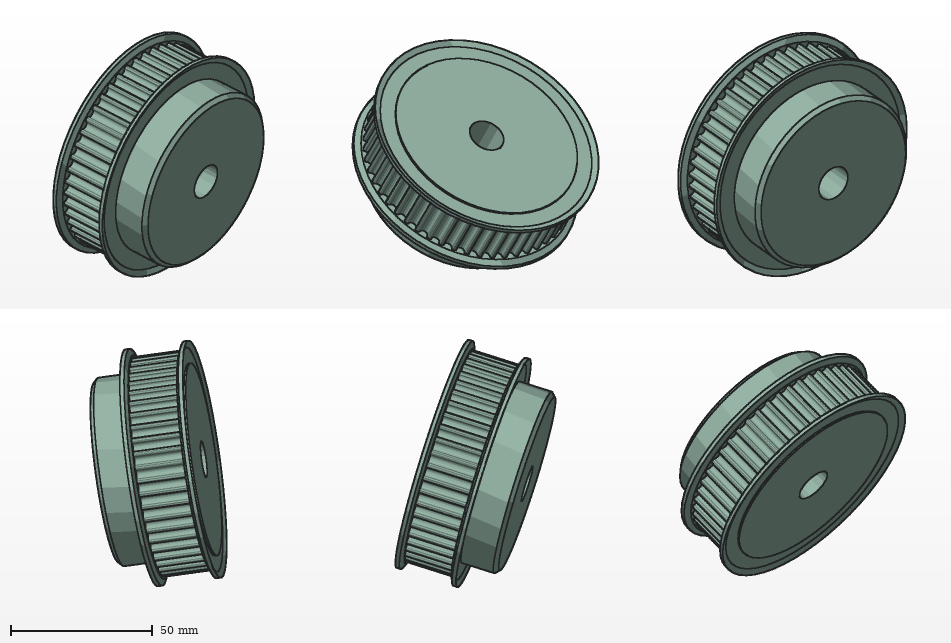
import cadquery as cq
import math

tooth_count = 50
toothed_diameter = 78.5
groove_radius = 1.5
groove_depth = 2.1
tip_radius = 0.6

flange_diameter = 84.6
rim_width = 1.5
dish_depth = 1.0
dish_diameter = 80.0
flange_depth = rim_width + dish_depth
track_width = 17.5

core_diameter = 68.7
core_recess = 0.3

hub_diameter = 67.3
hub_chamfer = 1.5
bore_diameter = 12.85
overall_length = 35.1

pulley_width = 2 * flange_depth + track_width


def turn(point, angle):
    """Rotate a point of the tooth outline about the pulley axis."""
    x, y = point
    return (
        x * math.cos(angle) - y * math.sin(angle),
        x * math.sin(angle) + y * math.cos(angle),
    )


def shifted(point, distance, angle):
    """Point at the given distance and direction from another point."""
    return (point[0] + distance * math.cos(angle), point[1] + distance * math.sin(angle))


def mirrored(point):
    """Mirror a point of the tooth outline across the groove's centre line."""
    return (point[0], -point[1])


def toothed_ring():
    """Toothed track: round-bottomed grooves with rounded tooth tips."""
    outer_radius = toothed_diameter / 2
    pitch_angle = 2 * math.pi / tooth_count

    bottom = (outer_radius - groove_depth, 0.0)
    groove_center = outer_radius - groove_depth + groove_radius
    tip_orbit = outer_radius - tip_radius
    center_gap = groove_radius + tip_radius
    tip_angle = math.acos(
        (groove_center**2 + tip_orbit**2 - center_gap**2) / (2 * groove_center * tip_orbit)
    )
    tip_center = turn((tip_orbit, 0.0), tip_angle)
    land_start = turn((outer_radius, 0.0), tip_angle)

    inward_angle = math.atan2(-tip_center[1], groove_center - tip_center[0])
    tip_middle = shifted(tip_center, tip_radius, (inward_angle + tip_angle) / 2)
    groove_end = shifted(tip_center, tip_radius, inward_angle)

    outline = cq.Workplane("YZ").workplane(offset=flange_depth).moveTo(*mirrored(land_start))
    for index in range(tooth_count):
        angle = index * pitch_angle
        next_land_end = turn(mirrored(land_start), angle + pitch_angle)
        land_middle = turn((outer_radius, 0.0), angle + pitch_angle / 2)
        outline = (
            outline
            .threePointArc(turn(mirrored(tip_middle), angle), turn(mirrored(groove_end), angle))
            .threePointArc(turn(bottom, angle), turn(groove_end, angle))
            .threePointArc(turn(tip_middle, angle), turn(land_start, angle))
            .threePointArc(land_middle, next_land_end)
        )
    return outline.close().extrude(track_width)


def flange():
    """Flat plate whose conical lip leans outward to a cylindrical rim, first end of the pulley."""
    rim_radius = flange_diameter / 2
    dish_radius = dish_diameter / 2
    profile = [
        (dish_depth, 0),
        (dish_depth, dish_radius),
        (0, rim_radius),
        (rim_width, rim_radius),
        (flange_depth, dish_radius),
        (flange_depth, 0),
    ]
    return cq.Workplane("XY").polyline(profile).close().revolve(360, (0, 0, 0), (1, 0, 0))


def cylinder(start, end, diameter):
    return cq.Workplane("YZ").workplane(offset=start).circle(diameter / 2).extrude(end - start)


first_flange = flange()
second_flange = first_flange.mirror("YZ").translate((pulley_width, 0, 0))
core_end = cylinder(core_recess, flange_depth, core_diameter)
hub = cylinder(pulley_width - flange_depth, overall_length, hub_diameter)
hub = hub.faces(">X").edges().chamfer(hub_chamfer)
bore = cylinder(0, overall_length, bore_diameter)

result = (
    toothed_ring()
    .union(first_flange)
    .union(second_flange)
    .union(core_end)
    .union(hub)
    .cut(bore)
)